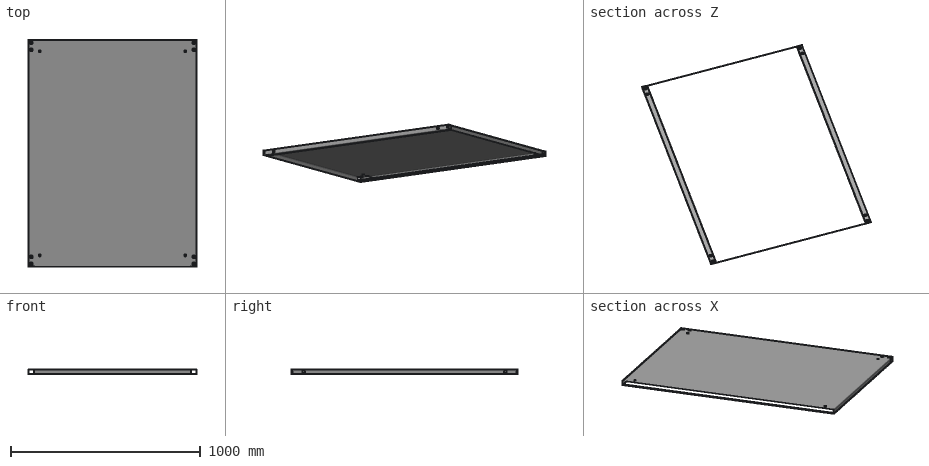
import cadquery as cq

width = 885.0
length = 1195.0
height = 25.0

sheet = 1.5
inner_bend_radius = 0.6
outer_bend_radius = inner_bend_radius + sheet

channel_width = 30.0
lip_height = 6.0
channel_center_x = width / 2 - channel_width / 2

channel_hole_end_offsets = (15.0, 53.0)
top_hole_diameter = 15.0
floor_hole_diameter = 11.0

corner_hole_inset = 60.0
corner_hole_diameter = 10.0

wall_hole_end_offset = 67.0
wall_hole_diameter = 12.0
end_hole_end_offset = 6.0
end_hole_diameter = 5.0

side_signs = (-1, 1)


def side_channel(side):
    """Long-side fold: top sheet, outer wall, floor and a low inner lip, open at both ends."""
    outer_face = ">X" if side > 0 else "<X"
    blank = cq.Workplane("XY").box(channel_width, length, height)
    blank = blank.edges("|Y").edges(outer_face).fillet(outer_bend_radius)

    cavity = cq.Workplane("XY").box(channel_width - 2 * sheet, length, height - 2 * sheet)
    cavity = cavity.edges("|Y").edges(outer_face).fillet(inner_bend_radius)

    opening_height = height - sheet - lip_height
    opening = cq.Workplane("XY").box(2 * sheet, length, opening_height).translate(
        (-side * (channel_width / 2 - sheet), 0, (lip_height - sheet) / 2)
    )
    return blank.cut(cavity).cut(opening).translate((side * channel_center_x, 0, height / 2))


def tray():
    """Top sheet between the channels with a skirt bent down at each end, open below."""
    skirt_width = width - 2 * (channel_width - sheet)
    centered = (True, True, False)
    outer = cq.Workplane("XY").box(skirt_width, length, height, centered=centered)
    outer = outer.edges("|X and >Z").fillet(outer_bend_radius)
    inner = cq.Workplane("XY").box(skirt_width, length - 2 * sheet, height - sheet, centered=centered)
    inner = inner.edges("|X and >Z").fillet(inner_bend_radius)
    return outer.cut(inner)


def vertical_holes(x, end_offset, diameter, bottom, top):
    """Four cutters along Z, placed symmetrically about both plan axes."""
    y = length / 2 - end_offset
    points = [(sx * x, sy * y) for sx in side_signs for sy in side_signs]
    plane = cq.Workplane("XY").workplane(offset=bottom)
    return plane.pushPoints(points).circle(diameter / 2).extrude(top - bottom)


def cross_holes(end_offset, diameter):
    """Two cutters along X at mid height, one near each end, through both side walls."""
    y = length / 2 - end_offset
    points = [(sy * y, height / 2) for sy in side_signs]
    return cq.Workplane("YZ").pushPoints(points).circle(diameter / 2).extrude(width / 2, both=True)


result = tray()
for side in side_signs:
    result = result.union(side_channel(side))

for offset in channel_hole_end_offsets:
    result = result.cut(vertical_holes(channel_center_x, offset, top_hole_diameter, height / 2, height))
    result = result.cut(vertical_holes(channel_center_x, offset, floor_hole_diameter, 0, height / 2))

corner_hole_x = width / 2 - corner_hole_inset
result = result.cut(vertical_holes(corner_hole_x, corner_hole_inset, corner_hole_diameter, 0, height))

result = result.cut(cross_holes(wall_hole_end_offset, wall_hole_diameter))
result = result.cut(cross_holes(end_hole_end_offset, end_hole_diameter))